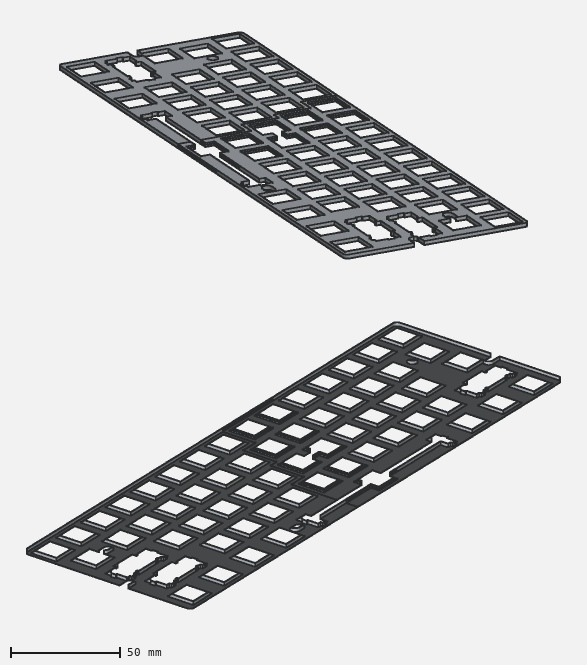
import cadquery as cq

LENGTH = 285.0
WIDTH = 94.7
THICKNESS = 2.0
CORNER_RADIUS = 2.3

UNITS_PER_ROW = 15
ROW_LENGTH = 285.7
PITCH = ROW_LENGTH / UNITS_PER_ROW
SWITCH_BORDER = 2.3
SWITCH_SIZE = PITCH - 2 * SWITCH_BORDER
CENTRE_ROW = 2

NUMBER_ROW = [0.5 + i for i in range(15)]
UPPER_ROW = [0.75] + [2 + i for i in range(12)] + [14.25]
HOME_ROW = [0.625] + [2.25 + i for i in range(11)] + [13.875]
LOWER_ROW = [1.125] + [2.75 + i for i in range(10)] + [13.625]
BOTTOM_ROW = [0.625, 1.875, 3.125, 6.875, 10.625, 11.875, 13.125, 14.375]
KEY_ROWS = [NUMBER_ROW, UPPER_ROW, HOME_ROW, LOWER_ROW, BOTTOM_ROW]

WIDE_KEYS = [(13.875, 2), (1.125, 3), (13.625, 3)]
SPACE_KEY = (6.875, 4)
WIDE_KEY_REACH = 12.0
SPACE_KEY_REACH = 50.0
POCKET_WIDTH = 7.0
POCKET_TOP = 5.7
POCKET_BOTTOM = -6.8
PRONG_WIDTH = 3.0
PRONG_BOTTOM = -8.0
EAR_DEPTH = 0.9
EAR_TOP = 2.3
EAR_BOTTOM = -0.9
NECK_TOP = 4.8
NECK_BOTTOM = -6.3
SPACE_BAR_SLOT = 5.0

MOUNT_DIAMETER = 5.0
SLOT_LENGTH = 8.0
MOUNT_HOLE = (-117.5, 19.5)
MOUNT_SLOTS = [(117.7, 19.5), (-14.3, 0.3), (48.0, -37.5)]
NOTCH_X = 137.7
NOTCH_Y = -9.0

JOINT_UNITS = [5, 5.5, 5.75, 6.25]
LAP_LENGTH = 2 * PITCH
JOINT_GAP = 0.15
MARGIN = 14.3


def key_position(units, row):
    """Centre of a key, from its distance along a row in key units."""
    return units * PITCH - ROW_LENGTH / 2, (CENTRE_ROW - row) * PITCH


def box(x_min, x_max, y_min, y_max):
    """Rectangular cutter through the whole plate."""
    return (
        cq.Workplane("XY")
        .center((x_min + x_max) / 2, (y_min + y_max) / 2)
        .rect(x_max - x_min, y_max - y_min)
        .extrude(THICKNESS, both=True)
    )


def blank_plate():
    return (
        cq.Workplane("XY")
        .box(LENGTH, WIDTH, THICKNESS)
        .edges("|Z")
        .fillet(CORNER_RADIUS)
    )


def switch_holes():
    centres = [key_position(units, row) for row, keys in enumerate(KEY_ROWS) for units in keys]
    return (
        cq.Workplane("XY")
        .pushPoints(centres)
        .rect(SWITCH_SIZE, SWITCH_SIZE)
        .extrude(THICKNESS, both=True)
    )


def stabilizer_pocket(key_x, key_y, reach, side):
    """Pocket with a prong at its -Y end and an ear on the side away from the key; side is +1 or -1."""
    x = key_x + side * reach
    half = POCKET_WIDTH / 2
    ear_x = x + side * half
    pocket = box(x - half, x + half, key_y + POCKET_BOTTOM, key_y + POCKET_TOP)
    prong = box(x - PRONG_WIDTH / 2, x + PRONG_WIDTH / 2, key_y + PRONG_BOTTOM, key_y)
    ear = box(ear_x - EAR_DEPTH, ear_x + EAR_DEPTH, key_y + EAR_BOTTOM, key_y + EAR_TOP)
    return pocket.union(prong).union(ear)


def stabilizer(key, reach, link_bottom, link_top):
    """Two pockets joined by a straight opening that runs across the key's switch hole."""
    x, y = key_position(*key)
    link = box(x - reach, x + reach, y + link_bottom, y + link_top)
    for side in (-1, 1):
        link = link.union(stabilizer_pocket(x, y, reach, side))
    return link


def mounting_openings():
    hole = (
        cq.Workplane("XY")
        .center(*MOUNT_HOLE)
        .circle(MOUNT_DIAMETER / 2)
        .extrude(THICKNESS, both=True)
    )
    slots = (
        cq.Workplane("XY")
        .pushPoints(MOUNT_SLOTS)
        .slot2D(SLOT_LENGTH, MOUNT_DIAMETER)
        .extrude(THICKNESS, both=True)
    )
    return hole.union(slots)


def edge_notches():
    """Round-ended notch in each short edge."""
    reach = LENGTH / 2 + MARGIN - NOTCH_X
    return (
        cq.Workplane("XY")
        .pushPoints([(side * (NOTCH_X + reach / 2), NOTCH_Y) for side in (-1, 1)])
        .slot2D(reach + MOUNT_DIAMETER, MOUNT_DIAMETER)
        .extrude(THICKNESS, both=True)
    )


def full_plate():
    """Both plates in one piece, with every opening."""
    plate = blank_plate().cut(switch_holes())
    for key in WIDE_KEYS:
        plate = plate.cut(stabilizer(key, WIDE_KEY_REACH, NECK_BOTTOM, NECK_TOP))
    plate = plate.cut(stabilizer(SPACE_KEY, SPACE_KEY_REACH, -SPACE_BAR_SLOT / 2, SPACE_BAR_SLOT / 2))
    return plate.cut(mounting_openings()).cut(edge_notches())


def stepped_block(shift, height):
    """Everything left of the joint line, moved by shift along X, from the mid-plane to height."""
    left_x = -LENGTH / 2 - MARGIN
    end_y = WIDTH / 2 + MARGIN
    outline = cq.Workplane("XY").moveTo(left_x, end_y)
    step_y = end_y
    for row, units in enumerate(JOINT_UNITS):
        joint_x, row_y = key_position(units, row)
        last_row = row == len(JOINT_UNITS) - 1
        outline = outline.lineTo(joint_x + shift, step_y)
        step_y = -end_y if last_row else row_y - PITCH / 2
        outline = outline.lineTo(joint_x + shift, step_y)
    return outline.lineTo(left_x, -end_y).close().extrude(height)


def left_zone():
    """Space of the left plate: its lower half carries a tongue under the right plate."""
    return stepped_block(0, MARGIN).union(stepped_block(LAP_LENGTH, -MARGIN))


def left_plate(plate, zone):
    return plate.intersect(zone)


def right_plate(plate, zone):
    """The rest of the plate, with a clearance all along the joint."""
    return plate.cut(zone.translate((JOINT_GAP, JOINT_GAP, JOINT_GAP)))


whole = full_plate()
zone = left_zone()
left = left_plate(whole, zone)
right = right_plate(whole, zone)
result = cq.Compound.makeCompound([left.val(), right.val()])